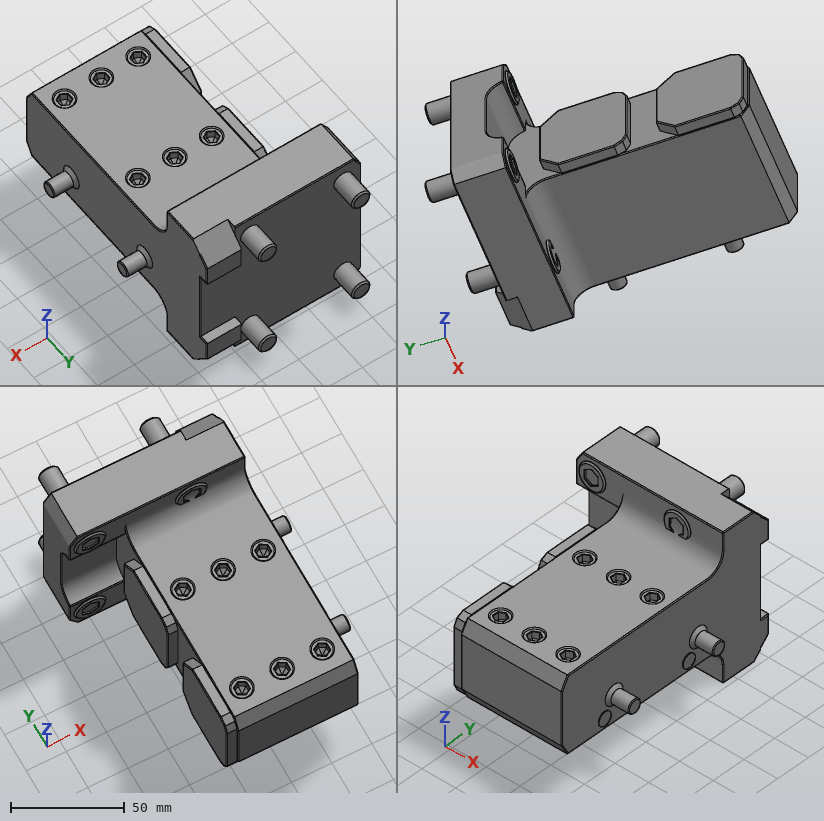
import cadquery as cq
import math

EDGE_BREAK = 0.5

PLATE_X = 87.5
PLATE_Y = 25.0
PLATE_Z = 85.0
PLATE_CORNER_X = 4.0
PLATE_CORNER_Z = 6.0

RECESS_DEPTH = 8.0
RECESS_FLOOR_HALF = 13.0
RECESS_RADIUS = 10.0

ARM_X = 60.0
ARM_HALF_Z = 22.25
ARM_END_Y = -130.0
ARM_ROOT_RADIUS = 10.0
ARM_ROOT_DEPTH = 2.0
ARM_NOSE_Y = 4.0
ARM_NOSE_Z = 7.0
ARM_LEFT = PLATE_X - ARM_X

KEY_X = 19.0
KEY_REACH = 5.0
KEY_INNER_Z = 21.0
KEY_SLOPE_START_Y = -5.5

PLATE_SCREW_X = (10.0, 60.5)
PLATE_SCREW_Z = 32.0
SHANK_DIAMETER = 10.0
SHANK_REACH = 14.0
SHANK_TIP = 0.8
HEAD_DIAMETER = 15.8
HEAD_HEIGHT = 1.0
HEAD_CHAMFER = 0.8
HEAD_SOCKET_FLATS = 8.0

SOCKET_LIP = 0.25

STATION_PITCH = 54.8
FIRST_STATION_Y = -60.2
STATION_Y = (FIRST_STATION_Y, FIRST_STATION_Y - STATION_PITCH)

PAD_THICKNESS = 5.2
PAD_REAR = 26.8
PAD_FRONT = 14.2
PAD_REAR_CHAMFER = 8.7
PAD_NOSE = 6.0
PAD_NOSE_STEP = 2.0

ARM_SCREW_PITCH = 20.0
ARM_SCREW_HOLE = 10.8
ARM_SCREW_HEAD = 9.6
ARM_SCREW_RIM_DEPTH = 0.6
ARM_SOCKET_FLATS = 6.0
ARM_SOCKET_DEPTH = 4.0
ARM_SOCKET_TIP = 2.0
ARM_SOCKET_TIP_FLATS = 0.2

PIN_OFFSET_Y = 19.0
PIN_Z = -6.5
PIN_DIAMETER = 8.0
PIN_END_X = 99.89
PIN_TIP = 0.5
PIN_COLLAR_DIAMETER = 11.6
PIN_COLLAR_X = 1.8

BUTTON_OFFSET_Y = 12.7
BUTTON_Z = -16.1
BUTTON_DIAMETER = 8.0
BUTTON_HEIGHT = 0.5


def hexagon_loft(plane, near_flats, far_flats, depth):
    """Hexagonal frustum going down from the plane, given the widths across its flats."""
    to_corners = 1 / math.cos(math.pi / 6)
    return (
        plane.polygon(6, near_flats * to_corners)
        .workplane(offset=-depth)
        .polygon(6, far_flats * to_corners)
        .loft()
    )


def hexagon_socket(plane, flats, depth):
    """Straight hexagon socket below the plane, with a chamfered mouth."""
    lip = hexagon_loft(plane, flats + 2 * SOCKET_LIP, flats, SOCKET_LIP)
    return lip.union(hexagon_loft(plane, flats, flats, depth))


def make_plate():
    half = PLATE_Z / 2
    outline = [
        (PLATE_CORNER_X, -half),
        (PLATE_X, -half),
        (PLATE_X, half),
        (PLATE_CORNER_X, half),
        (0, half - PLATE_CORNER_Z),
        (0, PLATE_CORNER_Z - half),
    ]
    plate = cq.Workplane("XZ").polyline(outline).close().extrude(PLATE_Y)
    plate = plate.cut(make_recess())
    return plate.faces("<X or >X or <Y or >Y").edges().chamfer(EDGE_BREAK)


def make_recess():
    """Pocket with a flat floor and concave rounded flanks, left of the arm."""
    floor_y = RECESS_DEPTH - PLATE_Y
    centre_y = floor_y - RECESS_RADIUS
    drop = centre_y + PLATE_Y
    mouth_half = RECESS_FLOOR_HALF + math.sqrt(RECESS_RADIUS**2 - drop**2)
    mid = RECESS_RADIUS * math.sqrt(0.5)
    mid_y = centre_y + mid
    mid_z = RECESS_FLOOR_HALF + mid
    return (
        cq.Workplane("YZ")
        .moveTo(floor_y, -RECESS_FLOOR_HALF)
        .lineTo(floor_y, RECESS_FLOOR_HALF)
        .threePointArc((mid_y, mid_z), (-PLATE_Y, mouth_half))
        .lineTo(-PLATE_Y, -mouth_half)
        .threePointArc((mid_y, -mid_z), (floor_y, -RECESS_FLOOR_HALF))
        .close()
        .extrude(ARM_LEFT)
    )


def make_arm():
    """Arm with a concave rounded root and a bevelled nose, its root buried in the plate."""
    root_z = ARM_HALF_Z + ARM_ROOT_RADIUS
    root_y = -PLATE_Y - ARM_ROOT_RADIUS
    mid = ARM_ROOT_RADIUS * math.sqrt(0.5)
    mid_y = root_y + mid
    mid_z = root_z - mid
    nose_y = ARM_END_Y + ARM_NOSE_Y
    nose_z = ARM_HALF_Z - ARM_NOSE_Z
    buried_y = ARM_ROOT_DEPTH - PLATE_Y
    arm = (
        cq.Workplane("YZ", origin=(ARM_LEFT, 0, 0))
        .moveTo(buried_y, root_z)
        .lineTo(-PLATE_Y, root_z)
        .threePointArc((mid_y, mid_z), (root_y, ARM_HALF_Z))
        .lineTo(nose_y, ARM_HALF_Z)
        .lineTo(ARM_END_Y, nose_z)
        .lineTo(ARM_END_Y, -nose_z)
        .lineTo(nose_y, -ARM_HALF_Z)
        .lineTo(root_y, -ARM_HALF_Z)
        .threePointArc((mid_y, -mid_z), (-PLATE_Y, -root_z))
        .lineTo(buried_y, -root_z)
        .close()
        .extrude(ARM_X)
    )
    return arm.faces("<X or >X").edges().chamfer(EDGE_BREAK)


def key_profile():
    """Upper key, its outer face sloping at 45 degrees from the plate top to the key tip."""
    top = PLATE_Z / 2
    tip_z = top - (KEY_REACH - KEY_SLOPE_START_Y)
    return [
        (KEY_SLOPE_START_Y, KEY_INNER_Z),
        (KEY_REACH, KEY_INNER_Z),
        (KEY_REACH, tip_z),
        (KEY_SLOPE_START_Y, top),
    ]


def corner_profile():
    """Plate corner lying outside the sloped face of the key."""
    top = PLATE_Z / 2
    return [
        (KEY_SLOPE_START_Y, top),
        (0, top),
        (0, top + KEY_SLOPE_START_Y),
    ]


def key_prism(profile):
    origin = (PLATE_X - KEY_X, 0, 0)
    return cq.Workplane("YZ", origin=origin).polyline(profile).close().extrude(KEY_X)


def add_keys(body):
    cut = key_prism(corner_profile())
    key = key_prism(key_profile())
    key = key.faces(">X").edges().chamfer(EDGE_BREAK)
    key = key.faces(">Y").edges("<X").chamfer(EDGE_BREAK)
    body = body.cut(cut).cut(cut.mirror("XY"))
    return body.union(key).union(key.mirror("XY"))


def make_plate_screw(x, z):
    shank = (
        cq.Workplane("XZ", origin=(x, -PLATE_Y / 2, z))
        .circle(SHANK_DIAMETER / 2)
        .extrude(-PLATE_Y / 2 - SHANK_REACH)
        .faces(">Y")
        .chamfer(SHANK_TIP)
    )
    head = (
        cq.Workplane("XZ", origin=(x, -PLATE_Y, z))
        .circle(HEAD_DIAMETER / 2)
        .extrude(HEAD_HEIGHT)
        .faces("<Y")
        .chamfer(HEAD_CHAMFER)
    )
    return shank, head


def make_plate_socket(x, z):
    mouth = cq.Workplane("XZ", origin=(x, -PLATE_Y - HEAD_HEIGHT, z)).transformed(rotate=(0, 0, 90))
    return hexagon_socket(mouth, HEAD_SOCKET_FLATS, HEAD_HEIGHT)


def add_plate_screws(body):
    for x in PLATE_SCREW_X:
        for z in (-PLATE_SCREW_Z, PLATE_SCREW_Z):
            shank, head = make_plate_screw(x, z)
            body = body.union(shank).union(head.cut(make_plate_socket(x, z)))
    return body


def make_pad(station_y):
    """Clamping pad on the left face of the arm, as tall as the arm."""
    rear = station_y + PAD_REAR
    front = station_y - PAD_FRONT
    top = ARM_HALF_Z
    upper = [
        (rear, top - PAD_REAR_CHAMFER),
        (rear - PAD_REAR_CHAMFER, top),
        (front + PAD_NOSE, top),
        (front + PAD_NOSE_STEP, top - PAD_NOSE_STEP),
        (front, top - PAD_NOSE),
    ]
    lower = [(y, -z) for y, z in reversed(upper)]
    return (
        cq.Workplane("YZ", origin=(ARM_LEFT, 0, 0))
        .polyline(upper + lower)
        .close()
        .extrude(-PAD_THICKNESS)
        .faces("<X")
        .chamfer(EDGE_BREAK)
    )


def make_pin(station_y):
    y = station_y + PIN_OFFSET_Y
    pin = (
        cq.Workplane("YZ", origin=(PLATE_X, y, PIN_Z))
        .circle(PIN_DIAMETER / 2)
        .extrude(PIN_END_X - PLATE_X)
        .faces(">X")
        .chamfer(PIN_TIP)
    )
    collar = (
        cq.Workplane("YZ", origin=(PLATE_X, y, PIN_Z))
        .circle(PIN_COLLAR_DIAMETER / 2)
        .workplane(offset=PIN_COLLAR_X)
        .circle(PIN_DIAMETER / 2)
        .loft()
    )
    return pin.union(collar)


def make_button(station_y):
    origin = (PLATE_X, station_y + BUTTON_OFFSET_Y, BUTTON_Z)
    return cq.Workplane("YZ", origin=origin).circle(BUTTON_DIAMETER / 2).extrude(BUTTON_HEIGHT)


def make_arm_screw_cut(x, y):
    """Tapered rim around a sunk screw head, with a pointed hexagon socket."""
    rim = (
        cq.Workplane("XY", origin=(x, y, ARM_HALF_Z))
        .circle(ARM_SCREW_HOLE / 2)
        .workplane(offset=-ARM_SCREW_RIM_DEPTH)
        .circle(ARM_SCREW_HEAD / 2)
        .loft()
    )
    head_z = ARM_HALF_Z - ARM_SCREW_RIM_DEPTH
    mouth = cq.Workplane("XY", origin=(x, y, head_z)).transformed(rotate=(0, 0, 90))
    socket = hexagon_socket(mouth, ARM_SOCKET_FLATS, ARM_SOCKET_DEPTH)
    floor = mouth.workplane(offset=-ARM_SOCKET_DEPTH)
    tip = hexagon_loft(floor, ARM_SOCKET_FLATS, ARM_SOCKET_TIP_FLATS, ARM_SOCKET_TIP)
    return rim.union(socket).union(tip)


def add_stations(body):
    middle_x = ARM_LEFT + ARM_X / 2
    for y in STATION_Y:
        body = body.union(make_pad(y)).union(make_pin(y)).union(make_button(y))
        for step in (-1, 0, 1):
            body = body.cut(make_arm_screw_cut(middle_x + step * ARM_SCREW_PITCH, y))
    return body


body = make_plate().union(make_arm())
body = add_keys(body)
body = add_plate_screws(body)
result = add_stations(body)